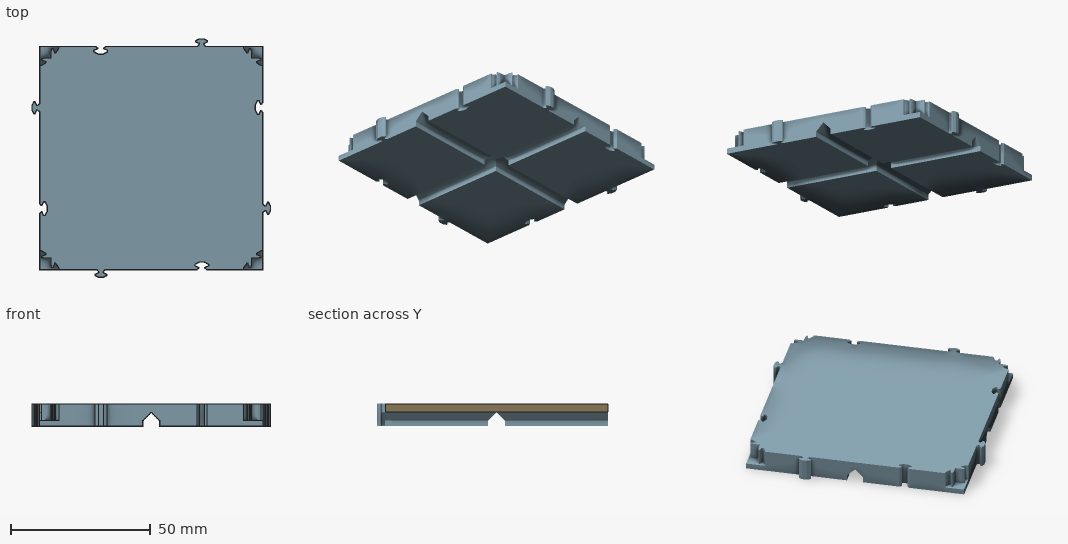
import cadquery as cq

tile_side = 80.0
tile_height = 8.0
half_side = tile_side / 2

tab_offset = 18.0
socket_offset = 18.1
tab_length = 2.7
tab_base_half_width = 1.45
tab_neck_half_width = 0.85
tab_head_half_width = 2.2
tab_tip_half_width = 0.85
tab_neck_start = 0.75
tab_neck_end = 1.0
tab_head_start = 1.6
tab_head_end = 2.0

socket_mouth_half_width = 1.8
socket_neck_half_width = 1.05
socket_head_half_width = 2.4
socket_floor_half_width = 0.9
socket_neck_start = 0.65
socket_neck_end = 0.85
socket_head_start = 1.45
socket_head_end = 1.95
socket_depth = 2.75

flange_thickness = 2.0
recess_inner = 4.15
recess_end = 6.9
recess_end_depth = 0.65
finger_tip_depth = 0.77
finger_shoulder_depth = 1.75
finger_tip_near = 4.45
finger_tip_far = 4.85
groove_bottom_near = 5.45
groove_bottom_far = 5.8
groove_depth = 2.37

channel_half_width = 3.0
channel_wall_height = 2.0
channel_peak_height = channel_wall_height + channel_half_width

side_angles = (0, 90, 180, 270)
channel_angles = (0, 90)


def joint_prism(stations, position):
    """Prism on the +Y side, symmetric about x = position.

    Each station is a half width and its y distance from the side.
    """
    right_flank = [(position + half_width, half_side + y) for half_width, y in stations]
    left_flank = [(position - half_width, half_side + y) for half_width, y in reversed(stations)]
    return cq.Workplane("XY").polyline(right_flank + left_flank).close().extrude(tile_height)


def make_tab():
    return joint_prism(
        [
            (tab_base_half_width, 0),
            (tab_neck_half_width, tab_neck_start),
            (tab_neck_half_width, tab_neck_end),
            (tab_head_half_width, tab_head_start),
            (tab_head_half_width, tab_head_end),
            (tab_tip_half_width, tab_length),
        ],
        tab_offset,
    )


def make_socket():
    return joint_prism(
        [
            (socket_mouth_half_width, 0),
            (socket_neck_half_width, -socket_neck_start),
            (socket_neck_half_width, -socket_neck_end),
            (socket_head_half_width, -socket_head_start),
            (socket_head_half_width, -socket_head_end),
            (socket_floor_half_width, -socket_depth),
        ],
        -socket_offset,
    )


def make_corner_recess():
    """Recess in the -X -Y corner, symmetric about the corner's diagonal."""
    flank = [
        (recess_end, 0),
        (recess_end, recess_end_depth),
        (groove_bottom_far, groove_depth),
        (groove_bottom_near, groove_depth),
        (finger_tip_far, finger_tip_depth),
        (finger_tip_near, finger_tip_depth),
        (recess_inner, finger_shoulder_depth),
    ]
    mirrored_flank = [(y, x) for x, y in reversed(flank)]
    outline = [(0, 0)] + flank + [(recess_inner, recess_inner)] + mirrored_flank
    return (
        cq.Workplane("XY", origin=(-half_side, -half_side, flange_thickness))
        .polyline(outline)
        .close()
        .extrude(tile_height - flange_thickness)
    )


def make_channel():
    """Channel along Y through the whole tile."""
    outline = [
        (-channel_half_width, 0),
        (channel_half_width, 0),
        (channel_half_width, channel_wall_height),
        (0, channel_peak_height),
        (-channel_half_width, channel_wall_height),
    ]
    return cq.Workplane("XZ").polyline(outline).close().extrude(half_side, both=True)


def turned(shape, angle):
    return shape.rotate((0, 0, 0), (0, 0, 1), angle)


tile = cq.Workplane("XY").box(tile_side, tile_side, tile_height, centered=(True, True, False))

for angle in side_angles:
    tile = tile.union(turned(make_tab(), angle))
    tile = tile.cut(turned(make_socket(), angle))
    tile = tile.cut(turned(make_corner_recess(), angle))

for angle in channel_angles:
    tile = tile.cut(turned(make_channel(), angle))

result = tile